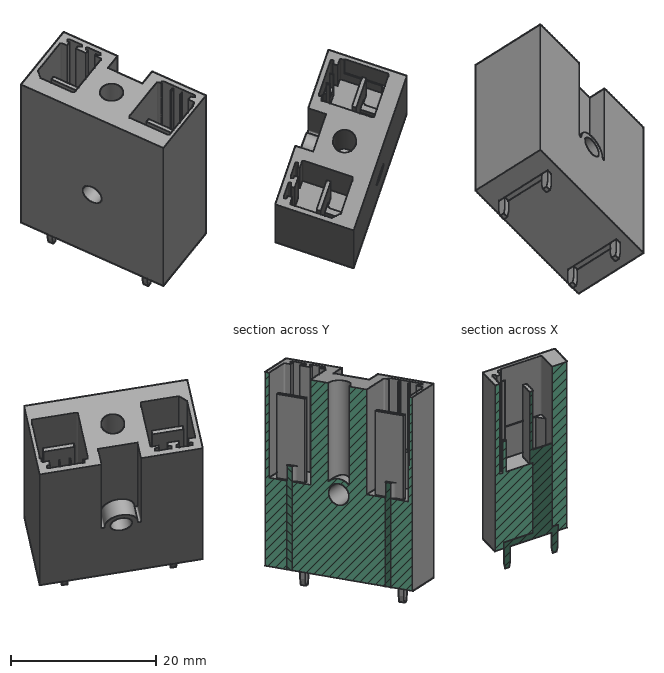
import cadquery as cq

WIDTH = 22.86
DEPTH = 11.4
HEIGHT = 28.3

CONTACT_PITCH = 15.24
CONTACT_XS = (-CONTACT_PITCH / 2, CONTACT_PITCH / 2)

FLOOR_THICKNESS = 13.0
POCKET_OUTER_X = -3.13
POCKET_INNER_X = 3.24
POCKET_FRONT_Y = -3.28
POCKET_CORNER_RADIUS = 0.22
POCKET_CHAMFER = 1.0
OUTER_SHOULDER_Y = 3.78
INNER_SHOULDER_Y = 4.12

RIB_FACE_Y = 3.9
SLOT_FRONT_Y = 4.46
SLOT_BACK_Y = 4.93
SLOT_END_RADIUS = (SLOT_BACK_Y - SLOT_FRONT_Y) / 2
OUTER_NECK_X = -2.11
OUTER_SLOT_X = -2.61
INNER_NECK_X = 2.1
INNER_SLOT_X = 2.73
RIB_HEAD_OUTER_X = -0.76
RIB_HEAD_INNER_X = 0.85
RIB_STEM_OUTER_X = -0.25
RIB_STEM_INNER_X = 0.36

MOUTH_DEPTH = 10.0
MOUTH_OUTER_X = 3.27
MOUTH_BACK_Y = 3.16
MOUTH_SHOULDER_Y = 4.42
MOUTH_NECK_X = -2.48
RIB_GAP_LEFT_X = -0.65
RIB_GAP_RIGHT_X = 0.68

HUB_Z = 12.25
HUB_DIAMETER = 4.66
HUB_HOLE_DIAMETER = 3.05
NOTCH_WIDTH = 5.54
NOTCH_DEPTH = 2.6
GROOVE_WIDTH = (NOTCH_WIDTH - HUB_DIAMETER) / 2
TOP_HOLE_DIAMETER = 3.2
TOP_HOLE_Y = -0.52

SHEET = 0.8
BLADE_WIDTH = 4.36
BLADE_X = 0.04
BLADE_THICKNESS = 0.6
BLADE_BACK_Y = 0.25
BLADE_FRONT_Y = BLADE_BACK_Y - BLADE_THICKNESS
BLADE_DROP = 3.06
STEM_DROP = 10.0
BLADE_TOP_Z = HEIGHT - BLADE_DROP
STEM_TOP_Z = BLADE_TOP_Z - STEM_DROP
BEND_RADIUS = 0.63
BASE_HEIGHT = 1.0
LEG_PITCH = 7.5
LEG_WIDTH = 1.05
LEG_LENGTH = 3.5
LEG_TIP_WIDTH = 0.65
LEG_TAPER = 1.0


def block(x0, x1, y0, y1, z0, z1):
    """Box given by its limits along X, Y and Z."""
    return cq.Workplane("XY").box(x1 - x0, y1 - y0, z1 - z0, centered=False).translate((x0, y0, z0))


def left_pocket():
    """Pocket with its guide slots, placed at the left contact position."""
    r = POCKET_CORNER_RADIUS
    outline = (
        cq.Workplane("XY")
        .moveTo(POCKET_OUTER_X + POCKET_CHAMFER, POCKET_FRONT_Y)
        .lineTo(POCKET_INNER_X - r, POCKET_FRONT_Y)
        .radiusArc((POCKET_INNER_X, POCKET_FRONT_Y + r), -r)
        .lineTo(POCKET_INNER_X, INNER_SHOULDER_Y - r)
        .radiusArc((POCKET_INNER_X - r, INNER_SHOULDER_Y), -r)
        .lineTo(INNER_NECK_X, INNER_SHOULDER_Y)
        .lineTo(INNER_NECK_X, SLOT_FRONT_Y)
        .lineTo(INNER_SLOT_X - SLOT_END_RADIUS, SLOT_FRONT_Y)
        .radiusArc((INNER_SLOT_X - SLOT_END_RADIUS, SLOT_BACK_Y), -SLOT_END_RADIUS)
        .lineTo(RIB_STEM_INNER_X + SLOT_END_RADIUS, SLOT_BACK_Y)
        .radiusArc((RIB_STEM_INNER_X + SLOT_END_RADIUS, SLOT_FRONT_Y), -SLOT_END_RADIUS)
        .lineTo(RIB_HEAD_INNER_X, SLOT_FRONT_Y)
        .lineTo(RIB_HEAD_INNER_X, RIB_FACE_Y)
        .lineTo(RIB_HEAD_OUTER_X, RIB_FACE_Y)
        .lineTo(RIB_HEAD_OUTER_X, SLOT_FRONT_Y)
        .lineTo(RIB_STEM_OUTER_X - SLOT_END_RADIUS, SLOT_FRONT_Y)
        .radiusArc((RIB_STEM_OUTER_X - SLOT_END_RADIUS, SLOT_BACK_Y), -SLOT_END_RADIUS)
        .lineTo(OUTER_SLOT_X + SLOT_END_RADIUS, SLOT_BACK_Y)
        .radiusArc((OUTER_SLOT_X + SLOT_END_RADIUS, SLOT_FRONT_Y), -SLOT_END_RADIUS)
        .lineTo(OUTER_NECK_X, SLOT_FRONT_Y)
        .lineTo(OUTER_NECK_X, OUTER_SHOULDER_Y)
        .lineTo(POCKET_OUTER_X + r, OUTER_SHOULDER_Y)
        .radiusArc((POCKET_OUTER_X, OUTER_SHOULDER_Y - r), -r)
        .lineTo(POCKET_OUTER_X, POCKET_FRONT_Y + POCKET_CHAMFER)
        .close()
    )
    pocket = outline.extrude(HEIGHT - FLOOR_THICKNESS)
    return pocket.translate((CONTACT_XS[0], 0, FLOOR_THICKNESS))


def right_pocket_mouth():
    """Wider upper part of the right pocket; it splits the rib into two thin wings."""
    bottom = HEIGHT - MOUTH_DEPTH
    inner_x = -POCKET_INNER_X
    room = block(inner_x, MOUTH_OUTER_X, POCKET_FRONT_Y, MOUTH_BACK_Y, bottom, HEIGHT)
    shoulder = block(inner_x, -INNER_NECK_X, MOUTH_BACK_Y, MOUTH_SHOULDER_Y, bottom, HEIGHT)
    rounded_room = room.edges("|Z and <Y").fillet(POCKET_CORNER_RADIUS)
    rounded_shoulder = shoulder.edges("|Z and <X and >Y").fillet(POCKET_CORNER_RADIUS)
    neck = block(MOUTH_NECK_X, -INNER_NECK_X, OUTER_SHOULDER_Y, SLOT_BACK_Y, bottom, HEIGHT)
    rib_gap = block(RIB_GAP_LEFT_X, RIB_GAP_RIGHT_X, OUTER_SHOULDER_Y, SLOT_BACK_Y, bottom, HEIGHT)
    slot_link = block(-RIB_HEAD_INNER_X, -RIB_HEAD_OUTER_X, SLOT_FRONT_Y, SLOT_BACK_Y, bottom, HEIGHT)
    mouth = rounded_room.union(rounded_shoulder).union(neck).union(rib_gap).union(slot_link)
    return mouth.translate((CONTACT_XS[1], 0, 0))


def hub_cylinder(diameter):
    """Cylinder on the hub axis, as long as the housing is deep."""
    return cq.Workplane("XZ", origin=(0, 0, HUB_Z)).circle(diameter / 2).extrude(DEPTH / 2, both=True)


def hub_notch():
    """Notch open to the back and top; its lower ends are round-bottomed grooves beside the hub."""
    half_notch = NOTCH_WIDTH / 2
    half_hub = HUB_DIAMETER / 2
    outline = (
        cq.Workplane("XZ", origin=(0, DEPTH / 2, 0))
        .moveTo(-half_notch, HEIGHT)
        .lineTo(-half_notch, HUB_Z)
        .radiusArc((-half_hub, HUB_Z), -GROOVE_WIDTH / 2)
        .radiusArc((half_hub, HUB_Z), half_hub)
        .radiusArc((half_notch, HUB_Z), -GROOVE_WIDTH / 2)
        .lineTo(half_notch, HEIGHT)
        .close()
    )
    return outline.extrude(NOTCH_DEPTH)


def top_hole():
    """Vertical hole from the top face down to the hub."""
    hole = cq.Workplane("XY", origin=(0, TOP_HOLE_Y, HUB_Z)).circle(TOP_HOLE_DIAMETER / 2)
    return hole.extrude(HEIGHT - HUB_Z).cut(hub_cylinder(HUB_DIAMETER))


def make_contact(x):
    """Contact with a wide blade, a stem bent from it, a base bar and two tapered legs."""
    half_sheet = SHEET / 2
    half_blade = BLADE_WIDTH / 2
    blade_left = BLADE_X - half_blade
    blade_right = BLADE_X + half_blade
    blade = block(blade_left, blade_right, BLADE_FRONT_Y, BLADE_BACK_Y, FLOOR_THICKNESS, BLADE_TOP_Z)
    stem_outline = (
        cq.Workplane("XY")
        .moveTo(-half_sheet, POCKET_FRONT_Y)
        .lineTo(half_sheet, POCKET_FRONT_Y)
        .lineTo(half_sheet, BLADE_FRONT_Y - BEND_RADIUS)
        .radiusArc((half_sheet + BEND_RADIUS, BLADE_FRONT_Y), BEND_RADIUS)
        .lineTo(-half_sheet, BLADE_FRONT_Y)
        .close()
    )
    stem = stem_outline.extrude(STEM_TOP_Z - FLOOR_THICKNESS).translate((0, 0, FLOOR_THICKNESS))
    root = block(-half_sheet, half_sheet, POCKET_FRONT_Y, BLADE_FRONT_Y, 0, FLOOR_THICKNESS)
    half_base = (LEG_PITCH + LEG_WIDTH) / 2
    base = block(-half_sheet, half_sheet, -half_base, half_base, 0, BASE_HEIGHT)
    contact = blade.union(stem).union(root).union(base)
    for leg_y in (-LEG_PITCH / 2, LEG_PITCH / 2):
        contact = contact.union(make_leg(leg_y))
    return contact.translate((x, 0, 0))


def make_leg(y):
    """Solder leg below the housing, tapered in Y at its tip."""
    half_leg = LEG_WIDTH / 2
    half_tip = LEG_TIP_WIDTH / 2
    taper_z = LEG_TAPER - LEG_LENGTH
    outline = [
        (y - half_leg, 0),
        (y - half_leg, taper_z),
        (y - half_tip, -LEG_LENGTH),
        (y + half_tip, -LEG_LENGTH),
        (y + half_leg, taper_z),
        (y + half_leg, 0),
    ]
    return cq.Workplane("YZ").polyline(outline).close().extrude(SHEET / 2, both=True)


def make_housing(contacts):
    """Housing block with its pockets, holes and hub, and recesses that match the contacts."""
    housing = block(-WIDTH / 2, WIDTH / 2, -DEPTH / 2, DEPTH / 2, 0, HEIGHT)
    pocket = left_pocket()
    housing = housing.cut(pocket).cut(pocket.mirror("YZ")).cut(right_pocket_mouth())
    housing = housing.cut(hub_notch()).cut(top_hole()).cut(hub_cylinder(HUB_HOLE_DIAMETER))
    for contact in contacts:
        housing = housing.cut(contact)
    return housing


contacts = [make_contact(x) for x in CONTACT_XS]
housing = make_housing(contacts)
result = cq.Compound.makeCompound([housing.val(), *[contact.val() for contact in contacts]])